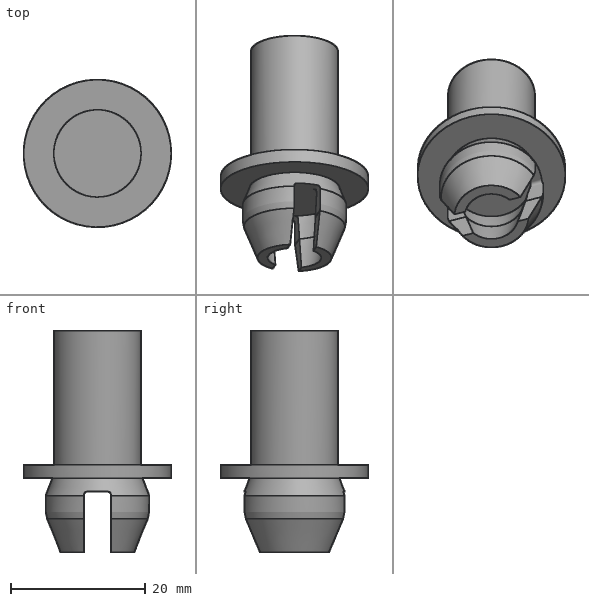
import cadquery as cq

TOTAL_HEIGHT = 33.0
TIP_TOP = 4.98
BAND_BOTTOM = 6.0
BAND_TOP = 8.45
SLOT_TOP = 9.0
FLANGE_BOTTOM = 11.02
FLANGE_TOP = 13.0

ROD_RADIUS = 13.0 / 2
FLANGE_RADIUS = 22.0 / 2
NECK_RADIUS = 6.73
BAND_RADIUS = 7.72
TIP_TOP_RADIUS = 7.52
TIP_END_RADIUS = 5.5

BORE_END_RADIUS = 4.0
BORE_TIP_TOP_RADIUS = 5.0
BORE_SLOPE = (BORE_TIP_TOP_RADIUS - BORE_END_RADIUS) / TIP_TOP
BORE_TOP_RADIUS = BORE_END_RADIUS + BORE_SLOPE * SLOT_TOP

SLOT_WIDTH = 4.0
SLOT_CORNER_RADIUS = 0.5
SLOT_LENGTH = 2 * FLANGE_RADIUS


def make_rod():
    """Plain round rod standing on the flange."""
    base = cq.Workplane("XY").workplane(offset=FLANGE_TOP)
    return base.circle(ROD_RADIUS).extrude(TOTAL_HEIGHT - FLANGE_TOP)


def make_bore():
    """Conical hollow, open at the bottom and closed at the slot roof."""
    profile = [(0, 0), (BORE_END_RADIUS, 0), (BORE_TOP_RADIUS, SLOT_TOP), (0, SLOT_TOP)]
    return cq.Workplane("XZ").polyline(profile).close().revolve(360, (0, 0), (0, 1))


def make_slot():
    """Slot along Y with rounded upper corners."""
    slot = cq.Workplane("XY").box(SLOT_WIDTH, SLOT_LENGTH, SLOT_TOP, centered=(True, True, False))
    return slot.edges("|Y and >Z").fillet(SLOT_CORNER_RADIUS)


def make_clip():
    """Flange, neck, band and its shallow lower taper, hollowed and slotted from below."""
    body = (
        cq.Workplane("XZ")
        .moveTo(0, TIP_TOP)
        .lineTo(TIP_TOP_RADIUS, TIP_TOP)
        .lineTo(BAND_RADIUS, BAND_BOTTOM)
        .lineTo(BAND_RADIUS, BAND_TOP)
        .lineTo(NECK_RADIUS, FLANGE_BOTTOM)
        .lineTo(FLANGE_RADIUS, FLANGE_BOTTOM)
        .lineTo(FLANGE_RADIUS, FLANGE_TOP)
        .lineTo(0, FLANGE_TOP)
        .close()
        .revolve(360, (0, 0), (0, 1))
    )
    return body.cut(make_bore()).cut(make_slot())


def make_snap_tip(side):
    """Tapered hollow tip on one side of the slot: side is -1 for -X and 1 for +X."""
    profile = [(0, 0), (TIP_END_RADIUS, 0), (TIP_TOP_RADIUS, TIP_TOP), (0, TIP_TOP)]
    cone = cq.Workplane("XZ").polyline(profile).close().revolve(360, (0, 0), (0, 1))
    ring = cone.cut(make_bore())
    half = cq.Workplane("XY").box(FLANGE_RADIUS, SLOT_LENGTH, SLOT_TOP, centered=(True, True, False))
    half = half.translate((side * (SLOT_WIDTH + FLANGE_RADIUS) / 2, 0, 0))
    return ring.intersect(half)


rod = make_rod()
clip = make_clip()
snap_tips = [make_snap_tip(side) for side in (-1, 1)]

bodies = [rod, clip, *snap_tips]
result = cq.Compound.makeCompound([body.val().Solids()[0] for body in bodies])